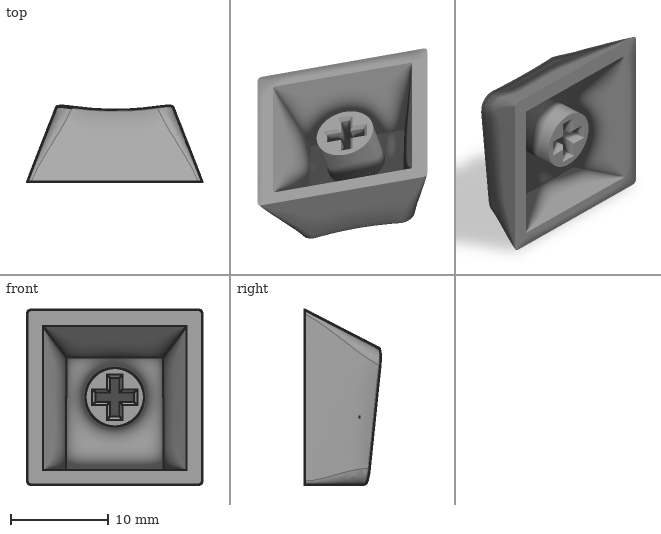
import cadquery as cq
import math

rim_size = 18.0
rim_corner_radius = 0.4

crown_width = 12.0
crown_upper_y = 7.87
crown_upper_z = 4.94
crown_lower_y = 6.43
crown_lower_z = -rim_size / 2
crown_corner_radius = 1.7
section_count = 5
wall_overrun = 1.06

dish_radius = 30.0
dish_depth = 0.45
dish_border_radius = 0.3

wall = 1.5

stem_diameter = 6.0
stem_face_y = 1.0
cross_length = 4.0
cross_width = 1.0
cross_chamfer = 0.32

crown_rise = crown_upper_y - crown_lower_y
crown_height = crown_upper_z - crown_lower_z
crown_length = math.hypot(crown_rise, crown_height)
crown_along = cq.Vector(0, crown_rise / crown_length, crown_height / crown_length)
crown_normal = cq.Vector(0, crown_height / crown_length, -crown_rise / crown_length)
crown_centre = cq.Vector(0, (crown_upper_y + crown_lower_y) / 2, (crown_upper_z + crown_lower_z) / 2)


def blend(start, end, fraction):
    return start + (end - start) * fraction


def wall_section(fraction, corner_radius=0):
    """Rectangle cutting the walls at a fraction of the way from the rim to the crown."""
    upper = cq.Vector(0, crown_upper_y * fraction, blend(rim_size / 2, crown_upper_z, fraction))
    lower = cq.Vector(0, crown_lower_y * fraction, blend(-rim_size / 2, crown_lower_z, fraction))
    slope = upper - lower
    width = blend(rim_size, crown_width, fraction)
    outline = cq.Sketch().rect(width, slope.Length)
    if corner_radius > 0:
        outline = outline.vertices().fillet(corner_radius).reset()
    plane = cq.Plane(origin=(upper + lower) / 2, xDir=(1, 0, 0), normal=(0, -slope.z, slope.y))
    return outline.moved(plane.location)


def outer_body():
    """Walls whose corner radius eases smoothly from the rim value to the crown value."""
    sections = []
    for index in range(section_count):
        fraction = wall_overrun * index / (section_count - 1)
        easing = fraction**2 * (3 - 2 * fraction)
        radius = blend(rim_corner_radius, crown_corner_radius, easing)
        sections.append(wall_section(fraction, radius))
    return cq.Workplane().placeSketch(*sections).loft()


def dish():
    """Cylinder along the crown that sinks dish_depth into its middle."""
    start = crown_centre + crown_normal * (dish_radius - dish_depth) - crown_along * crown_length
    return cq.Workplane(cq.Solid.makeCylinder(dish_radius, 2 * crown_length, start, crown_along))


def hollow():
    """Sharp-cornered inside of the walls, one wall thickness in from their unrounded faces."""
    block = cq.Workplane().placeSketch(wall_section(0), wall_section(1)).loft(ruled=True)
    shell = block.faces("<Y").shell(-wall)
    return block.cut(shell)


def cross_socket():
    """Cross-shaped hole with a chamfered mouth, long enough to pass right through the stem."""
    face = cq.Workplane("XZ", origin=(0, stem_face_y, 0))
    mouth_length = cross_length + 2 * cross_chamfer
    mouth_width = cross_width + 2 * cross_chamfer
    socket = face.rect(cross_length, cross_width).extrude(-crown_upper_y)
    socket = socket.union(face.rect(cross_width, cross_length).extrude(-crown_upper_y))
    for size_x, size_z in ((mouth_length, mouth_width), (mouth_width, mouth_length)):
        socket = socket.union(face.rect(size_x, size_z).extrude(-cross_chamfer, taper=45))
    return socket


def stem(space):
    """Round post standing on the floor of the given space, its socket open down to that floor."""
    face = cq.Workplane("XZ", origin=(0, stem_face_y, 0))
    post = face.circle(stem_diameter / 2).extrude(-crown_upper_y)
    return post.cut(cross_socket()).intersect(space)


def dished_body():
    """Outer body trimmed by the dish, with the border of the dish rounded."""
    trimmed = outer_body().cut(dish())
    dish_face = cq.selectors.NearestToPointSelector(crown_centre.toTuple())
    return trimmed.faces(dish_face).edges().fillet(dish_border_radius)


inside = hollow()
result = dished_body().cut(inside).union(stem(inside))